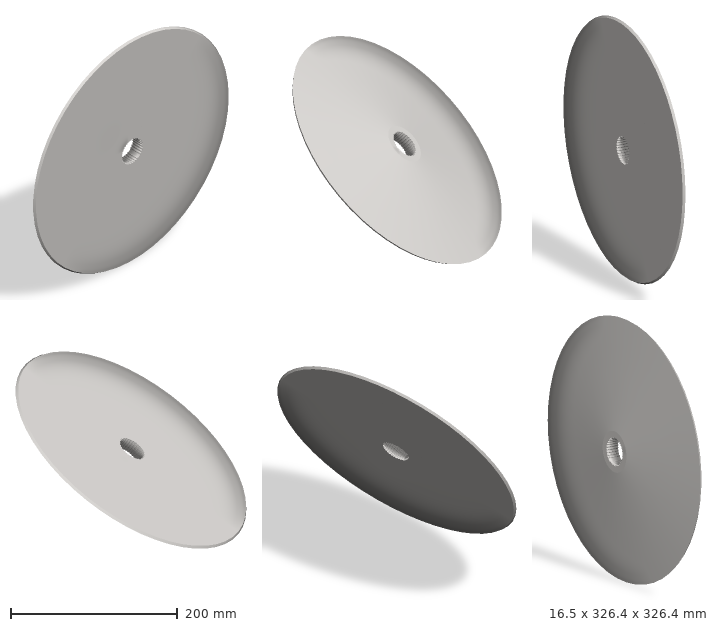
import cadquery as cq
import math

outer_radius = 163.2
thickness = 16.5
rim_depth = 3.0
rim_inset = 2.0
hub_radius = 25.5
back_x = thickness / 2
front_x = -thickness / 2

tooth_count = 32
tip_radius = 16.5
groove_depth = 1.0
floor_radius = tip_radius + groove_depth
tip_share = 0.31
key_angle = -48.3


def make_disc():
    return (
        cq.Workplane("XY")
        .moveTo(front_x, 0)
        .lineTo(front_x, hub_radius)
        .lineTo(back_x - rim_depth, outer_radius)
        .lineTo(back_x, outer_radius - rim_inset)
        .lineTo(back_x, 0)
        .close()
        .revolve(360, (0, 0, 0), (1, 0, 0))
    )


def bore_point(radius, position):
    """Point in the YZ plane; position counts tooth pitches from the missing tooth."""
    angle = math.radians(key_angle + position * 360 / tooth_count)
    return (radius * math.cos(angle), radius * math.sin(angle))


def make_bore():
    half_tip = tip_share / 2
    half_groove = 0.5 - half_tip
    quarter_groove_radius = tip_radius + groove_depth * math.sqrt(0.5)
    quarter_groove_offset = half_groove * math.sqrt(0.5)
    outline = cq.Workplane("YZ", origin=(front_x, 0, 0)).moveTo(*bore_point(tip_radius, 1 - half_tip))

    for tooth in range(1, tooth_count):
        outline = outline.threePointArc(
            bore_point(tip_radius, tooth), bore_point(tip_radius, tooth + half_tip)
        )
        if tooth < tooth_count - 1:
            outline = outline.threePointArc(
                bore_point(floor_radius, tooth + 0.5), bore_point(tip_radius, tooth + 1 - half_tip)
            )

    outline = (
        outline.threePointArc(
            bore_point(quarter_groove_radius, -0.5 - quarter_groove_offset),
            bore_point(floor_radius, -0.5),
        )
        .threePointArc(bore_point(floor_radius, 0), bore_point(floor_radius, 0.5))
        .threePointArc(
            bore_point(quarter_groove_radius, 0.5 + quarter_groove_offset),
            bore_point(tip_radius, 1 - half_tip),
        )
    )
    return outline.close().extrude(thickness)


result = make_disc().cut(make_bore())